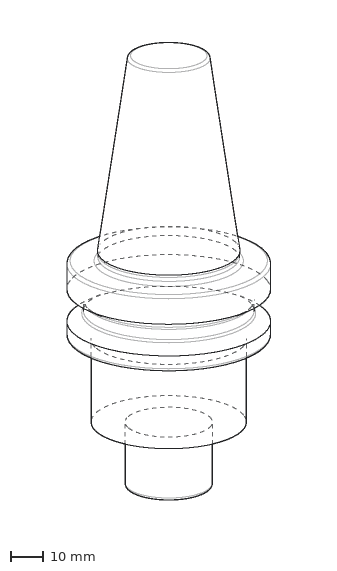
import cadquery as cq
import math


gauge_diameter = 44.45
taper_ratio = 7 / 24
taper_length = 65.4
tip_radius = 1.0

neck_diameter = 43.75
taper_end_z = 1.3
neck_top_z = 0.5
neck_fillet = 1.2

flange_diameter = 62.98
flange_top_z = -2.0
flange_bottom_z = -27.0
flange_edge_radius = 1.0
groove_center_z = -16.6
groove_floor_diameter = 52.75
groove_mouth_width = 10.4
groove_flank_angle = 30.0
groove_floor_radius = 1.0

nose_diameter = 48.0
nose_end_z = -55.0
nose_fillet = 1.0
pilot_diameter = 27.0
pilot_end_z = -76.0
pilot_edge_radius = 1.0

edge_margin = 0.05


def disc(diameter, bottom_z, top_z):
    """Solid cylinder on the Z axis between two heights."""
    return cq.Workplane("XY").workplane(offset=bottom_z).circle(diameter / 2).extrude(top_z - bottom_z)


def revolved(points):
    """Solid of revolution about Z from (radius, z) corners."""
    return cq.Workplane("XZ").polyline(points).close().revolve(360, (0, 0, 0), (0, 1, 0))


def circle_edge(diameter, z):
    """Selector for the circular edge of a given diameter and height."""
    reach = diameter / 2 + edge_margin
    return cq.selectors.BoxSelector(
        (-reach, -reach, z - edge_margin), (reach, reach, z + edge_margin), boundingbox=True
    )


def taper_shank():
    def taper_radius(z):
        return (gauge_diameter - taper_ratio * z) / 2

    shank = revolved([
        (0, flange_top_z),
        (neck_diameter / 2, flange_top_z),
        (neck_diameter / 2, neck_top_z),
        (taper_radius(taper_end_z), taper_end_z),
        (taper_radius(taper_length), taper_length),
        (0, taper_length),
    ])
    return shank.faces(">Z").edges().fillet(tip_radius)


def flange():
    body = disc(flange_diameter, flange_bottom_z, flange_top_z)
    return body.faces("<Z or >Z").edges().fillet(flange_edge_radius)


def groove_ring():
    """Trapezoidal ring that cuts the gripper groove, with rounded floor corners."""
    floor_radius = groove_floor_diameter / 2
    rim_radius = flange_diameter / 2
    flank_rise = (rim_radius - floor_radius) * math.tan(math.radians(groove_flank_angle))
    half_mouth = groove_mouth_width / 2
    half_floor = half_mouth - flank_rise
    profile = [
        (rim_radius, groove_center_z - half_mouth),
        (floor_radius, groove_center_z - half_floor),
        (floor_radius, groove_center_z + half_floor),
        (rim_radius, groove_center_z + half_mouth),
    ]
    ring = revolved(profile)
    for side in (-1, 1):
        corner = circle_edge(groove_floor_diameter, groove_center_z + side * half_floor)
        ring = ring.edges(corner).fillet(groove_floor_radius)
    return ring


def nose():
    return disc(nose_diameter, nose_end_z, flange_bottom_z)


def pilot():
    body = disc(pilot_diameter, pilot_end_z, nose_end_z)
    return body.faces("<Z").edges().fillet(pilot_edge_radius)


holder = flange().cut(groove_ring()).union(taper_shank()).union(nose()).union(pilot())
holder = holder.edges(circle_edge(neck_diameter, flange_top_z)).fillet(neck_fillet)
result = holder.edges(circle_edge(nose_diameter, flange_bottom_z)).fillet(nose_fillet)